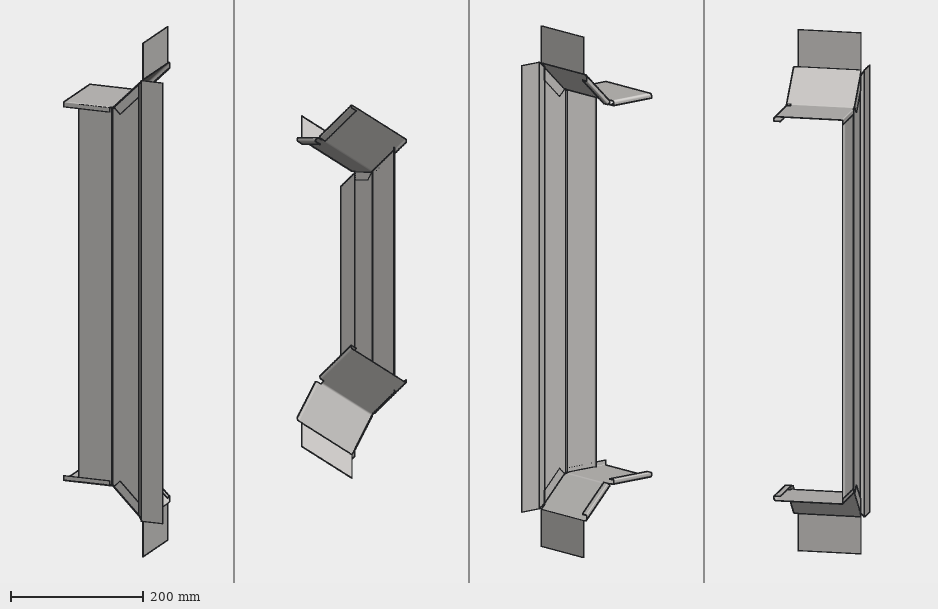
import cadquery as cq
import math

SHEET = 1.0
TIGHT_BEND = 2.0
WIDE_BEND = 4.0

LENGTH_X = 163.0
DEPTH_Y = 111.5
HEIGHT_Z = 808.0
LEFT_X = -LENGTH_X / 2
RIGHT_X = LENGTH_X / 2
PANEL_FRONT_Y = -DEPTH_Y / 2
REAR_Y = DEPTH_Y / 2

BRACKET_FRONT_Y = -52.0
BEND_X = -2.0
LEVEL_Z = 298.0
SLOPE_ANGLE = math.radians(45)
HALF_TURN = SLOPE_ANGLE / 2
SLOPE_RUN = 48.5
TAB_X = BEND_X + SLOPE_RUN
TAB_START_Z = LEVEL_Z + SLOPE_RUN
TAB_TOP_Z = HEIGHT_Z / 2
TAB_FRONT_Y = BRACKET_FRONT_Y + TIGHT_BEND
TAB_WIDTH = 98.0
LEVEL_FLANGE = 8.0
SLOPE_FLANGE = 15.0
REAR_FLANGE = 8.0
REAR_LIP = 10.5
RELIEF = 5.0
LEG_BEND = 4.0
LEG_BEND_SETBACK = LEG_BEND * math.tan(HALF_TURN)

PANEL_LEFT_X = -59.0
PANEL_LIP = 4.0
PANEL_BEND = 3.0
JOG_RUN = 2.5
STEP_RUN = 6.5
STEP_X = TAB_X - STEP_RUN
MIDDLE_FRONT_Y = BRACKET_FRONT_Y + SHEET
INSET_FRONT_Y = MIDDLE_FRONT_Y + SHEET
PANEL_SHOULDER_Z = LEVEL_Z - TIGHT_BEND


def rounded_outline(plane, corners):
    """Closed wire through (u, v, radius) corners, the first sharp, rounding those with a radius."""
    wire = cq.Workplane(plane).moveTo(*corners[0][:2])
    for index in range(1, len(corners)):
        u, v, radius = corners[index]
        if radius == 0:
            wire = wire.lineTo(u, v)
            continue
        before = corners[index - 1]
        after = corners[(index + 1) % len(corners)]
        corner = cq.Vector(u, v)
        to_before = (cq.Vector(*before[:2]) - corner).normalized()
        to_after = (cq.Vector(*after[:2]) - corner).normalized()
        half_angle = to_before.getAngle(to_after) / 2
        setback = radius / math.tan(half_angle)
        middle_distance = radius / math.sin(half_angle) - radius
        start = corner + to_before * setback
        middle = corner + (to_before + to_after).normalized() * middle_distance
        end = corner + to_after * setback
        wire = wire.lineTo(start.x, start.y).threePointArc((middle.x, middle.y), (end.x, end.y))
    return wire.close()


def bracket_leg(start_x, start_z, direction, length, front_flange):
    """Channel with a plain front flange and a lipped rear flange, run along one leg."""
    plane = cq.Plane(origin=(start_x, 0, start_z), xDir=(0, 1, 0), normal=direction)
    inner_front_y = BRACKET_FRONT_Y + SHEET
    inner_rear_y = REAR_Y - SHEET
    lip_end_y = REAR_Y - REAR_LIP
    section = [
        (BRACKET_FRONT_Y, -front_flange, 0),
        (BRACKET_FRONT_Y, 0, TIGHT_BEND),
        (REAR_Y, 0, WIDE_BEND),
        (REAR_Y, -REAR_FLANGE, TIGHT_BEND),
        (lip_end_y, -REAR_FLANGE, 0),
        (lip_end_y, SHEET - REAR_FLANGE, 0),
        (inner_rear_y, SHEET - REAR_FLANGE, TIGHT_BEND - SHEET),
        (inner_rear_y, -SHEET, WIDE_BEND - SHEET),
        (inner_front_y, -SHEET, TIGHT_BEND - SHEET),
        (inner_front_y, -front_flange, 0),
    ]
    return rounded_outline(plane, section).extrude(length)


def bracket_web():
    """Bent strip, as wide as the tab, that joins the two legs and ends in the tab."""
    miter = SHEET * math.tan(HALF_TURN)
    profile = [
        (LEFT_X, LEVEL_Z, 0),
        (BEND_X, LEVEL_Z, LEG_BEND),
        (TAB_X, TAB_START_Z, 0),
        (TAB_X, TAB_TOP_Z, 0),
        (TAB_X + SHEET, TAB_TOP_Z, 0),
        (TAB_X + SHEET, TAB_START_Z - miter, 0),
        (BEND_X + miter, LEVEL_Z - SHEET, LEG_BEND + SHEET),
        (LEFT_X, LEVEL_Z - SHEET, 0),
    ]
    plane = cq.Plane(origin=(0, TAB_FRONT_Y, 0), xDir=(1, 0, 0), normal=(0, -1, 0))
    return rounded_outline(plane, profile).extrude(-TAB_WIDTH)


def end_bracket(at_bottom):
    """Complete bracket for the top end, mirrored when it serves the bottom end."""
    level_leg = bracket_leg(LEFT_X, LEVEL_Z, (1, 0, 0), BEND_X - RELIEF - LEFT_X, LEVEL_FLANGE)
    slope_start = LEG_BEND_SETBACK * math.cos(SLOPE_ANGLE)
    slope_length = (SLOPE_RUN - slope_start) / math.cos(SLOPE_ANGLE)
    slope_leg = bracket_leg(
        BEND_X + slope_start, LEVEL_Z + slope_start, (1, 0, 1), slope_length, SLOPE_FLANGE
    )
    right_of = cq.Workplane().box(LENGTH_X, 2 * DEPTH_Y, HEIGHT_Z, centered=(False, True, True))
    slope_leg = slope_leg.cut(right_of.translate((TAB_X + SHEET, 0, 0)))
    slope_leg = slope_leg.cut(right_of.translate((STEP_X, TAB_FRONT_Y - DEPTH_Y, 0)))
    bracket = bracket_web().union(level_leg).union(slope_leg)
    return bracket.mirror("XY") if at_bottom else bracket


def long_panel():
    """Stepped sheet, trimmed to follow the brackets at both ends."""
    lip_end_y = INSET_FRONT_Y + PANEL_LIP
    slope_clearance = TIGHT_BEND / math.cos(SLOPE_ANGLE)
    jog_x = BEND_X - JOG_RUN
    section = [
        (PANEL_LEFT_X, lip_end_y, 0),
        (PANEL_LEFT_X, INSET_FRONT_Y, PANEL_BEND),
        (jog_x, INSET_FRONT_Y, 0),
        (BEND_X, MIDDLE_FRONT_Y, 0),
        (STEP_X, MIDDLE_FRONT_Y, 0),
        (TAB_X, PANEL_FRONT_Y, 0),
        (RIGHT_X, PANEL_FRONT_Y, 0),
        (RIGHT_X, PANEL_FRONT_Y + SHEET, 0),
        (TAB_X, PANEL_FRONT_Y + SHEET, 0),
        (STEP_X, MIDDLE_FRONT_Y + SHEET, 0),
        (BEND_X, MIDDLE_FRONT_Y + SHEET, 0),
        (jog_x, INSET_FRONT_Y + SHEET, 0),
        (PANEL_LEFT_X + SHEET, INSET_FRONT_Y + SHEET, PANEL_BEND - SHEET),
        (PANEL_LEFT_X + SHEET, lip_end_y, 0),
    ]
    upper_edge = [
        (PANEL_LEFT_X, PANEL_SHOULDER_Z),
        (BEND_X + slope_clearance - TIGHT_BEND, PANEL_SHOULDER_Z),
        (STEP_X, TAB_START_Z - STEP_RUN - slope_clearance),
        (TAB_X, TAB_START_Z),
        (RIGHT_X, TAB_START_Z),
    ]
    lower_edge = [(x, -z) for x, z in reversed(upper_edge)]
    sheet = rounded_outline(cq.Plane.XY(), section).extrude(TAB_START_Z, both=True)
    face_outline = cq.Workplane("XZ").polyline(upper_edge + lower_edge).close()
    return sheet.intersect(face_outline.extrude(DEPTH_Y, both=True))


panel = long_panel()
brackets = [end_bracket(at_bottom) for at_bottom in (False, True)]

result = cq.Compound.makeCompound([panel.solids().val(), *[bracket.solids().val() for bracket in brackets]])